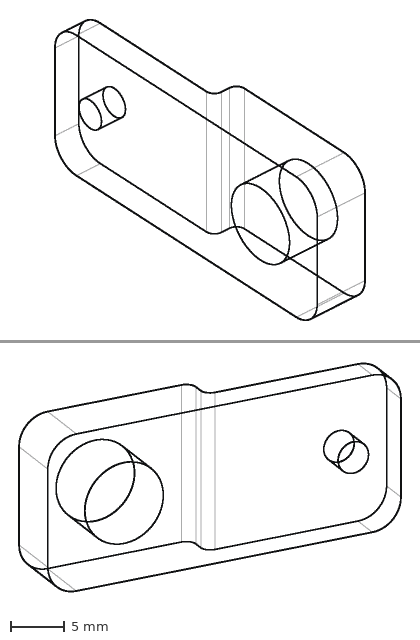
import cadquery as cq

length = 37.0
height = 16.0
thick_depth = 6.0
thin_depth = thick_depth / 2
corner_radius = 3.0

step_x = 18.98
step_radius = 1.0

small_hole_diameter = 3.2
small_hole_x = 5.0
large_hole_diameter = 8.2
large_hole_end_distance = 8.0
large_hole_x = length - large_hole_end_distance


def stepped_body():
    """Stepped XY profile extruded upward, with its corners and step rounded."""
    body = (
        cq.Workplane("XY")
        .polyline([
            (0, 0),
            (length, 0),
            (length, thick_depth),
            (step_x, thick_depth),
            (step_x, thin_depth),
            (0, thin_depth),
        ])
        .close()
        .extrude(height)
    )
    outer_corners = body.faces("<X or >X").edges("|Y")
    body = outer_corners.fillet(corner_radius)
    step_edges = cq.selectors.BoxSelector(
        (step_x - step_radius, 0, 0),
        (step_x + step_radius, 2 * thick_depth, height),
    )
    return body.edges("|Z").edges(step_edges).fillet(step_radius)


def through_hole(x, diameter):
    """Cylinder along Y that spans the full depth at mid height."""
    return (
        cq.Workplane("XZ")
        .center(x, height / 2)
        .circle(diameter / 2)
        .extrude(-thick_depth)
    )


result = (
    stepped_body()
    .cut(through_hole(small_hole_x, small_hole_diameter))
    .cut(through_hole(large_hole_x, large_hole_diameter))
)